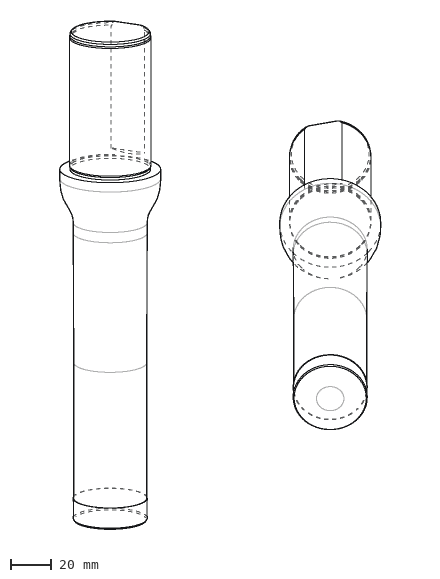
import cadquery as cq

head_diameter = 36.4
head_waist_diameter = 36.0
head_top = 11.7
head_rim_height = 1.5
head_edge_width = 0.5
head_edge_height = 0.7
tip_diameter = 13.5

body_diameter = 35.9
seat_diameter = 36.4
taper_bottom = 80.7
taper_top = 146.7
flare_bottom = 152.0

collar_diameter = 49.5
collar_bottom = 174.3
collar_top = 179.0
flare_middle_diameter = 44.0
flare_middle_height = 161.8

total_height = 249.0
shank_diameter = 40.0
neck_diameter = 39.5
shank_bottom = 180.3
neck_chamfer_height = 0.7
top_face_diameter = 38.0
top_chamfer_height = 1.0
top_step_height = 3.0

flat_distance = 17.7
flat_bottom = 184.3
flat_runout_height = 2.2


def make_head():
    """Slightly waisted disc with a shallow cone and a flat tip below."""
    rim_radius = head_diameter / 2
    waist_height = (head_top + head_rim_height) / 2
    return (
        cq.Workplane("XZ")
        .moveTo(0, 0)
        .lineTo(tip_diameter / 2, 0)
        .lineTo(rim_radius - head_edge_width, head_edge_height)
        .lineTo(rim_radius, head_rim_height)
        .threePointArc((head_waist_diameter / 2, waist_height), (rim_radius, head_top))
        .lineTo(0, head_top)
        .close()
        .revolve(360, (0, 0, 0), (0, 1, 0))
    )


def make_holder_blank():
    """Turned holder: body, flare, collar, neck and shank."""
    seat_radius = seat_diameter / 2
    collar_radius = collar_diameter / 2
    neck_radius = neck_diameter / 2
    shank_radius = shank_diameter / 2

    flare_points = [
        (flare_middle_diameter / 2, flare_middle_height),
        (collar_radius, collar_bottom),
    ]
    upward = (0, 1)

    return (
        cq.Workplane("XZ")
        .moveTo(0, head_top)
        .lineTo(body_diameter / 2, head_top)
        .lineTo(body_diameter / 2, taper_bottom)
        .lineTo(seat_radius, taper_top)
        .lineTo(seat_radius, flare_bottom)
        .spline(flare_points, tangents=[upward, upward], includeCurrent=True)
        .lineTo(collar_radius, collar_top)
        .lineTo(neck_radius, collar_top)
        .lineTo(neck_radius, shank_bottom)
        .lineTo(shank_radius, shank_bottom + neck_chamfer_height)
        .lineTo(shank_radius, total_height - top_step_height)
        .lineTo(neck_radius, total_height - top_step_height + neck_chamfer_height)
        .lineTo(neck_radius, total_height - top_chamfer_height)
        .lineTo(top_face_diameter / 2, total_height)
        .lineTo(0, total_height)
        .close()
        .revolve(360, (0, 0, 0), (0, 1, 0))
    )


def make_flat_cutter():
    """Block that cuts the clamping flat, with a sloped run-out at its lower end."""
    runout_distance = shank_diameter / 2
    outer_distance = collar_diameter / 2
    return (
        cq.Workplane("YZ")
        .moveTo(flat_distance, total_height)
        .lineTo(flat_distance, flat_bottom)
        .lineTo(runout_distance, flat_bottom - flat_runout_height)
        .lineTo(outer_distance, flat_bottom - flat_runout_height)
        .lineTo(outer_distance, total_height)
        .close()
        .extrude(shank_diameter / 2, both=True)
    )


head = make_head()
holder = make_holder_blank().cut(make_flat_cutter())

result = cq.Compound.makeCompound([head.val(), holder.val()])